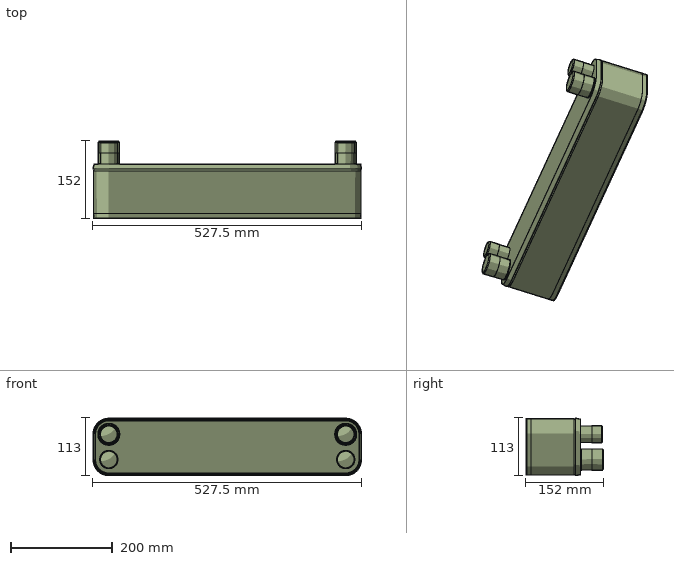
import cadquery as cq


LENGTH = 527.5
HEIGHT = 113.0
TOTAL_DEPTH = 152.0

PLATE_DEPTH = 10.0
FLAT_EDGE = 2.0
FLARE = 1.5
RIM_BAND = 1.5
COVER_BACK_Y = 107.0
COVER_CORNER = 31.5

PACK_INSET = 1.0
PACK_CORNER = 29.5
PACK_NECK = 1.0
PACK_STRAIGHT_Y = 94.0

RIM_WIDTH = 2.5
FLOOR_Y = 8.5

PORT_X = 232.5
PORT_Z = 25.0

BUTTON_RADIUS = 18.0
BUTTON_STEP = 1.5
BUTTON_STEP_HEIGHT = 2.0
DOME_HEIGHT = 4.0

DISH_RADIUS = 21.5
DISH_SLOPE_WIDTH = 1.5
DISH_DEPTH = 2.5

SMALL_PORT_RADIUS = 17.0
LARGE_PORT_RADIUS = 21.0
SMALL_PORT_SHORTFALL = 1.5
TIP_CHAMFER = 2.0
PORT_STEP = 0.25
PORT_STEP_Y = 129.0
FOOT_HEIGHT = 1.5

COVER_FRONT_Y = COVER_BACK_Y - PLATE_DEPTH
DOME_RADIUS = BUTTON_RADIUS - BUTTON_STEP
SPHERE_RADIUS = (DOME_RADIUS**2 + DOME_HEIGHT**2) / (2 * DOME_HEIGHT)


def on_plane(y):
    """Workplane in the plane at y, with its normal towards -Y."""
    return cq.Workplane("XZ", origin=(0, y, 0))


def rounded_outline(inset, corner):
    """Rounded rectangle drawn in by inset from the overall length and height."""
    return cq.Sketch().rect(LENGTH - 2 * inset, HEIGHT - 2 * inset).vertices().fillet(corner)


def straight_block(inset, corner, front_y, back_y):
    return on_plane(back_y).placeSketch(rounded_outline(inset, corner)).extrude(back_y - front_y)


def flared_block(inset, corner, draw_in, front_y, back_y):
    """Block with the given outline at its front, drawn in all round at its back."""
    back = rounded_outline(inset + draw_in, corner - draw_in)
    front = rounded_outline(inset, corner).moved(cq.Location(cq.Vector(0, 0, back_y - front_y)))
    return on_plane(back_y).placeSketch(back, front).loft()


def end_plate(inset, corner, front_y):
    """Filled outer shape of a stamped end plate whose rim is at front_y."""
    back_y = front_y + PLATE_DEPTH
    flare_front_y = front_y + RIM_BAND
    flare_back_y = back_y - FLAT_EDGE
    band = straight_block(inset, corner, front_y, flare_front_y)
    flare = flared_block(inset, corner, FLARE, flare_front_y, flare_back_y)
    edge = straight_block(inset + FLARE, corner - FLARE, flare_back_y, back_y)
    return band.union(flare).union(edge)


def cone(x, z, front_y, height, front_radius, back_radius):
    direction = cq.Vector(0, 1, 0)
    solid = cq.Solid.makeCone(front_radius, back_radius, height, cq.Vector(x, front_y, z), direction)
    return cq.Workplane(solid)


def button(x, z, base_y):
    """Short cone standing on base_y towards -Y, with a spherical cap on it."""
    cap_height = BUTTON_STEP_HEIGHT + DOME_HEIGHT
    half_profile = (
        cq.Workplane("XY", origin=(x, base_y, z))
        .lineTo(BUTTON_RADIUS, 0)
        .lineTo(DOME_RADIUS, -BUTTON_STEP_HEIGHT)
        .radiusArc((0, -cap_height), SPHERE_RADIUS)
        .close()
    )
    return half_profile.revolve(360, (0, 0), (0, 1))


def front_plate_envelope():
    """Filled front plate with the round bulges behind its dishes; also the recess in the pack."""
    envelope = end_plate(PACK_INSET, PACK_CORNER, 0)
    bulge_y = PLATE_DEPTH + DISH_DEPTH
    for x in (-PORT_X, PORT_X):
        bulge = on_plane(bulge_y).center(x, PORT_Z).circle(DISH_RADIUS).extrude(bulge_y - FLOOR_Y)
        envelope = envelope.union(bulge)
    return envelope


def make_front_plate():
    hollow_inset = PACK_INSET + RIM_WIDTH
    hollow_corner = PACK_CORNER - RIM_WIDTH
    hollow = flared_block(hollow_inset, hollow_corner, FLARE, 0, FLOOR_Y)
    plate = front_plate_envelope().cut(hollow)
    for x in (-PORT_X, PORT_X):
        dish = cone(x, PORT_Z, FLOOR_Y, DISH_DEPTH, DISH_RADIUS, DISH_RADIUS - DISH_SLOPE_WIDTH)
        plate = plate.cut(dish)
        plate = plate.union(button(x, PORT_Z, FLOOR_Y + DISH_DEPTH))
        plate = plate.union(button(x, -PORT_Z, FLOOR_Y))
    return plate


def make_plate_pack():
    """Block behind the front plate, with a slightly tapered neck under the cover plate."""
    body = straight_block(PACK_INSET, PACK_CORNER, 0, PACK_STRAIGHT_Y)
    neck = flared_block(PACK_INSET, PACK_CORNER, PACK_NECK, PACK_STRAIGHT_Y, COVER_FRONT_Y)
    return body.union(neck).cut(front_plate_envelope())


def make_cover_plate():
    return end_plate(0, COVER_CORNER, COVER_FRONT_Y)


def make_port(x, z, radius, tip_y, foot_height):
    """Round stub on the cover plate: chamfered tip, slightly thinner stem, optional foot ring."""
    tip = on_plane(tip_y).center(x, z).circle(radius).extrude(tip_y - PORT_STEP_Y)
    tip = tip.faces(">Y").chamfer(TIP_CHAMFER)
    stem = on_plane(PORT_STEP_Y).center(x, z).circle(radius - PORT_STEP)
    port = tip.union(stem.extrude(PORT_STEP_Y - COVER_BACK_Y))
    if foot_height > 0:
        foot = on_plane(COVER_BACK_Y + foot_height).center(x, z).circle(radius)
        port = port.union(foot.extrude(foot_height))
    return port


front_plate = make_front_plate()
plate_pack = make_plate_pack()
cover_plate = make_cover_plate()

small_tip_y = TOTAL_DEPTH - SMALL_PORT_SHORTFALL
ports = []
for port_x in (-PORT_X, PORT_X):
    ports.append(make_port(port_x, PORT_Z, SMALL_PORT_RADIUS, small_tip_y, 0).val())
    ports.append(make_port(port_x, -PORT_Z, LARGE_PORT_RADIUS, TOTAL_DEPTH, FOOT_HEIGHT).val())

result = cq.Compound.makeCompound([front_plate.val(), plate_pack.val(), cover_plate.val(), *ports])